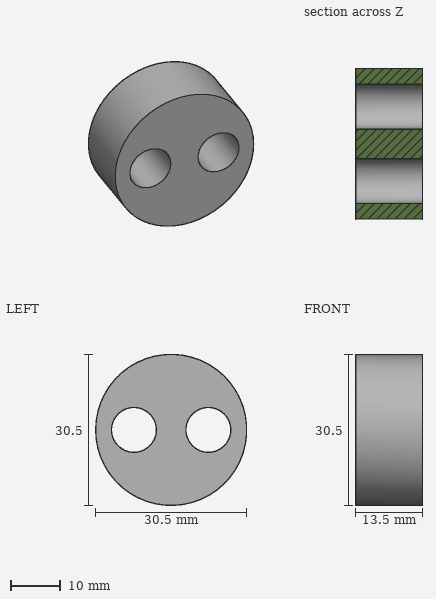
import cadquery as cq

disc_diameter = 30.5
disc_thickness = 13.5
hole_diameter = 9.0
hole_spacing = 15.0

disc = cq.Workplane("YZ").circle(disc_diameter / 2).extrude(disc_thickness)

hole_centres = [(-hole_spacing / 2, 0), (hole_spacing / 2, 0)]
holes = (
    cq.Workplane("YZ")
    .pushPoints(hole_centres)
    .circle(hole_diameter / 2)
    .extrude(disc_thickness)
)

result = disc.cut(holes)